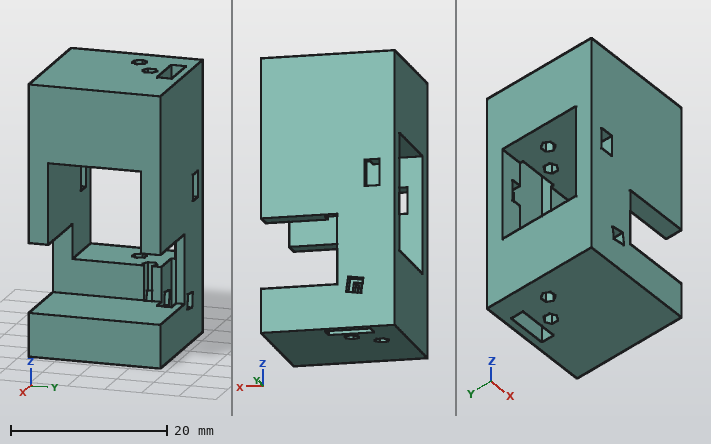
import cadquery as cq

LENGTH_X = 17.63
LENGTH_Y = 17.75
HEIGHT = 36.35

WINDOW_WIDTH = 12.45
WINDOW_HEIGHT = 15.55
WINDOW_BOTTOM = 10.5

NOTCH_START_X = 7.6
NOTCH_BOTTOM = 5.85
NOTCH_HEIGHT = 9.3

SLOT_X = 3.45
SLOT_Y = 14.6
SLOT_LENGTH = 6.0
SLOT_WIDTH = 2.0

PASSAGE_X = 2.0
PASSAGE_Z = 18.6
PASSAGE_WIDTH = 2.0
PASSAGE_HEIGHT = 3.5

SQUARE_SIDE = 2.0
SQUARE_CENTER = (5.27, 5.65)
SQUARE_TILT = 8.0

HOLE_DIAMETER = 1.95
HOLE_SIDES = 6
HOLES = [(3.5, 10.35, -3.0), (6.85, 12.83, 92.0)]


def box_at(x, y, z, size_x, size_y, size_z):
    """Box given by its lowest corner and its sizes."""
    return cq.Workplane("XY").box(size_x, size_y, size_z, centered=False).translate((x, y, z))


def square_passage():
    """Square bar along Y, tilted about its own axis."""
    center_x, center_z = SQUARE_CENTER
    return (
        cq.Workplane("XY")
        .box(SQUARE_SIDE, LENGTH_Y, SQUARE_SIDE)
        .rotate((0, 0, 0), (0, 1, 0), -SQUARE_TILT)
        .translate((center_x, LENGTH_Y / 2, center_z))
    )


def polygon_hole(x, y, corner_angle):
    """Vertical prism through the full height."""
    return (
        cq.Workplane("XY")
        .polygon(HOLE_SIDES, HOLE_DIAMETER)
        .extrude(HEIGHT)
        .rotate((0, 0, 0), (0, 0, 1), corner_angle)
        .translate((x, y, 0))
    )


window_y = (LENGTH_Y - WINDOW_WIDTH) / 2
window = box_at(0, window_y, WINDOW_BOTTOM, LENGTH_X, WINDOW_WIDTH, WINDOW_HEIGHT)
notch = box_at(NOTCH_START_X, 0, NOTCH_BOTTOM, LENGTH_X - NOTCH_START_X, LENGTH_Y, NOTCH_HEIGHT)
slot = box_at(SLOT_X, SLOT_Y, 0, SLOT_LENGTH, SLOT_WIDTH, HEIGHT)
passage = box_at(PASSAGE_X, 0, PASSAGE_Z, PASSAGE_WIDTH, LENGTH_Y, PASSAGE_HEIGHT)

result = box_at(0, 0, 0, LENGTH_X, LENGTH_Y, HEIGHT)
for cutter in (window, notch, slot, passage, square_passage()):
    result = result.cut(cutter)
for hole_x, hole_y, hole_angle in HOLES:
    result = result.cut(polygon_hole(hole_x, hole_y, hole_angle))